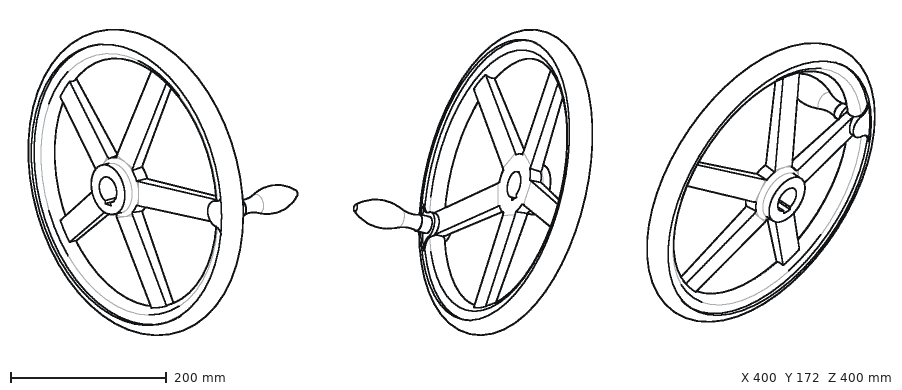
import cadquery as cq
import math


rim_outer_radius = 200.0
rim_width = 32.0
rim_inner_radius = 162.5
band_flat_radius = 171.0
rim_recess_depth = 4.8
rim_half_width = rim_width / 2
band_half_width = rim_half_width - rim_recess_depth
rim_edge_radius = rim_outer_radius - rim_half_width

hub_front = -47.5
hub_back = -12.5
hub_nose_radius = 65.0 / 2
hub_shoulder_fillet = 6.0
hub_nose_length = 12.0
hub_shoulder_radius = hub_nose_radius + hub_shoulder_fillet
hub_shoulder = hub_front + hub_nose_length + hub_shoulder_fillet
hub_back_radius = 40.0
bore_radius = 16.8
keyway_width = 11.0
keyway_depth_from_axis = 20.0

spoke_count = 5
spoke_hub_width = 32.8
spoke_rim_width = 30.8
spoke_slope = 0.2
spoke_rim_thickness = 12.5
spoke_start = bore_radius + 4.0
spoke_end = rim_inner_radius + 6.0

handle_offset = 171.0
pad_radius = 17.0
pad_half_width = 13.0
pad_blend_radius = 13.0
handle_stem_radius = 22.0 / 2
handle_stem_end = 28.0
handle_neck_start_radius = 10.5
handle_neck_radius = 9.0
handle_neck = 38.5
handle_grip_start_radius = 12.5
handle_grip_start = 56.0
handle_grip_radius = 18.0
handle_grip_widest = 84.0
handle_tip_radius = 4.8
handle_cap_start = 121.5
handle_end = 172.0 + hub_front


def revolve_about_y(profile):
    """Turn a closed profile of (radius, y) points about the Y axis."""
    return profile.close().revolve(360, (0, 0, 0), (0, 1, 0))


def make_rim():
    """Rounded outer bead with a thinner, recessed and rounded inner band."""
    profile = (
        cq.Workplane("XY")
        .moveTo(rim_edge_radius, -rim_half_width)
        .threePointArc((rim_outer_radius, 0), (rim_edge_radius, rim_half_width))
        .lineTo(rim_edge_radius, band_half_width)
        .lineTo(band_flat_radius, band_half_width)
        .threePointArc((rim_inner_radius, 0), (band_flat_radius, -band_half_width))
        .lineTo(rim_edge_radius, -band_half_width)
    )
    return revolve_about_y(profile)


def make_hub():
    arc_offset = hub_shoulder_fillet * (1 - math.sqrt(0.5))
    profile = (
        cq.Workplane("XY")
        .moveTo(0, hub_front)
        .lineTo(hub_nose_radius, hub_front)
        .lineTo(hub_nose_radius, hub_front + hub_nose_length)
        .threePointArc(
            (hub_nose_radius + arc_offset, hub_shoulder - arc_offset),
            (hub_shoulder_radius, hub_shoulder),
        )
        .lineTo(hub_back_radius, hub_back)
        .lineTo(0, hub_back)
    )
    return revolve_about_y(profile)


def make_spoke():
    """Spoke along +X: a sloping strip trimmed to a slightly tapered outline."""
    front_end = hub_shoulder + spoke_slope * (spoke_end - hub_shoulder_radius)
    strip = (
        cq.Workplane("XY")
        .polyline([
            (spoke_start, hub_shoulder),
            (hub_shoulder_radius, hub_shoulder),
            (spoke_end, front_end),
            (spoke_end, front_end + spoke_rim_thickness),
            (hub_back_radius, hub_back),
            (spoke_start, hub_back),
        ])
        .close()
        .extrude(spoke_hub_width, both=True)
    )
    outline = (
        cq.Workplane("XZ")
        .polyline([
            (spoke_start, -spoke_hub_width / 2),
            (spoke_end, -spoke_rim_width / 2),
            (spoke_end, spoke_rim_width / 2),
            (spoke_start, spoke_hub_width / 2),
        ])
        .close()
        .extrude(rim_outer_radius, both=True)
    )
    return strip.intersect(outline)


def make_handle_pad():
    """Round pad whose sides flare out tangentially into the step of the rim."""
    pad_to_blend = pad_radius + pad_blend_radius
    axis_to_blend = rim_edge_radius - pad_blend_radius
    blend_x = (axis_to_blend**2 - pad_to_blend**2 + handle_offset**2) / (2 * handle_offset)
    blend_z = math.sqrt(axis_to_blend**2 - blend_x**2)
    pad_share = pad_radius / pad_to_blend
    touch_x = handle_offset + (blend_x - handle_offset) * pad_share
    touch_z = blend_z * pad_share
    step_ratio = rim_edge_radius / axis_to_blend
    step_x = blend_x * step_ratio
    step_z = blend_z * step_ratio
    middle_x = (touch_x + step_x) / 2 - blend_x
    middle_z = (touch_z + step_z) / 2 - blend_z
    reach = pad_blend_radius / math.hypot(middle_x, middle_z)
    arc_x = blend_x + middle_x * reach
    arc_z = blend_z + middle_z * reach
    return (
        cq.Workplane("XZ")
        .moveTo(touch_x, -touch_z)
        .threePointArc((handle_offset - pad_radius, 0), (touch_x, touch_z))
        .threePointArc((arc_x, arc_z), (step_x, step_z))
        .threePointArc((rim_edge_radius, 0), (step_x, -step_z))
        .threePointArc((arc_x, -arc_z), (touch_x, -touch_z))
        .close()
        .extrude(pad_half_width, both=True)
    )


def make_handle():
    profile = (
        cq.Workplane("XY")
        .lineTo(handle_stem_radius, 0)
        .lineTo(handle_stem_radius, handle_stem_end)
        .lineTo(handle_neck_start_radius, handle_stem_end)
        .threePointArc(
            (handle_neck_radius, handle_neck),
            (handle_grip_start_radius, handle_grip_start),
        )
        .spline(
            [
                (handle_grip_radius, handle_grip_widest),
                (handle_tip_radius, handle_cap_start),
            ],
            includeCurrent=True,
        )
        .lineTo(0, handle_end)
    )
    return revolve_about_y(profile).translate((handle_offset, 0, 0))


def make_keyed_bore():
    bore_plane = cq.Workplane("XZ", origin=(0, hub_front, 0))
    bore = bore_plane.circle(bore_radius).extrude(hub_front - hub_back)
    keyway = cq.Workplane("XY").box(
        keyway_width,
        hub_back - hub_front,
        keyway_depth_from_axis,
        centered=(True, False, False),
    )
    return bore.union(keyway.translate((0, hub_front, -keyway_depth_from_axis)))


result = make_rim().union(make_hub())
spoke = make_spoke()
for index in range(spoke_count):
    angle = index * 360 / spoke_count
    result = result.union(spoke.rotate((0, 0, 0), (0, 1, 0), angle))
result = result.union(make_handle_pad()).union(make_handle()).cut(make_keyed_bore())